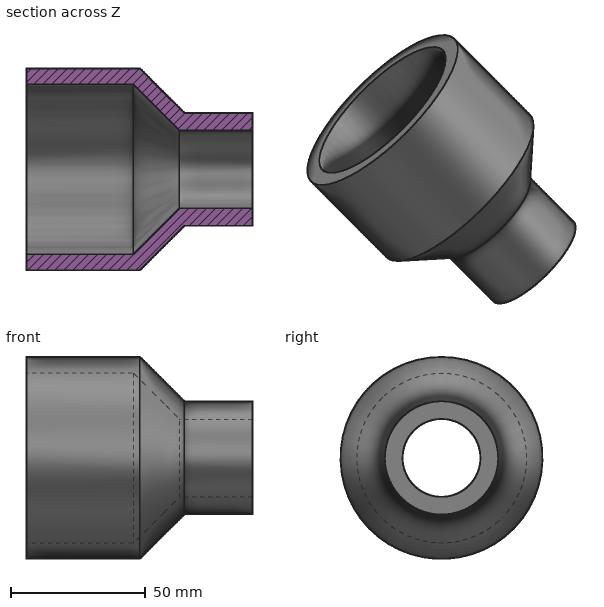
import cadquery as cq

total_length = 84.0
wide_length = 42.2
wide_bore_depth = 39.7

wide_outer_diameter = 75.0
wide_bore_diameter = 63.0
narrow_outer_diameter = 42.0
narrow_bore_diameter = 28.8


def reducer_solid(wide_diameter, narrow_diameter, cone_start):
    """Solid of revolution: wide cylinder, 45 degree cone, narrow cylinder."""
    wide_radius = wide_diameter / 2
    narrow_radius = narrow_diameter / 2
    cone_end = cone_start + wide_radius - narrow_radius
    return (
        cq.Workplane("XZ")
        .lineTo(0, wide_radius)
        .lineTo(cone_start, wide_radius)
        .lineTo(cone_end, narrow_radius)
        .lineTo(total_length, narrow_radius)
        .lineTo(total_length, 0)
        .close()
        .revolve(360, (0, 0, 0), (1, 0, 0))
    )


outer_body = reducer_solid(wide_outer_diameter, narrow_outer_diameter, wide_length)
bore = reducer_solid(wide_bore_diameter, narrow_bore_diameter, wide_bore_depth)

result = outer_body.cut(bore)